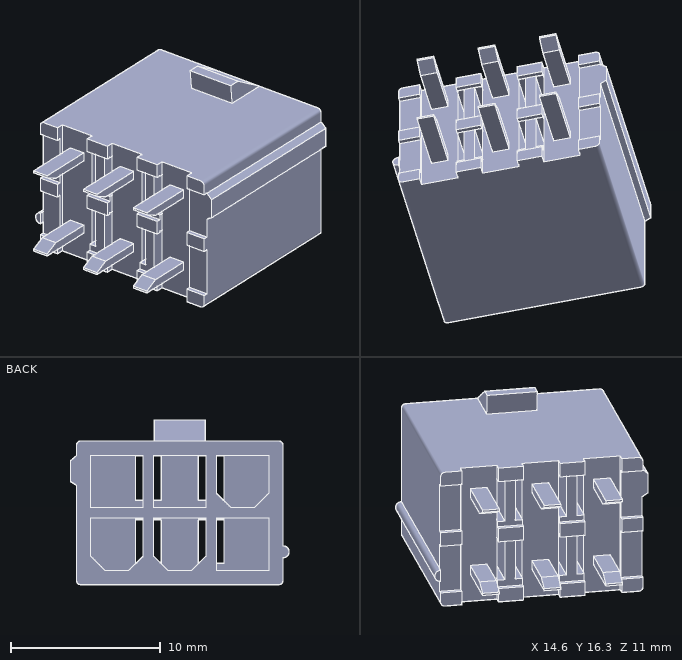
import cadquery as cq

columns = 3
pitch = 4.2

partition = 0.72
body_width = 13.8
body_height = 9.6
body_depth = 12.8
corner_radius = 0.3

cavity_side = pitch - partition
cavity_chamfer = 0.95
floor_thickness = 3.2
polarised = [(0, 1), (1, 0), (2, 0)]

channel_width = 2.5
channel_depth = 0.52
land_depth = 0.3
standoff_height = 0.97

window_bottom = 1.25
window_top = 1.7

pin_width = 1.14
pin_thickness = 0.61
pin_length = 3.5
pin_row_pitch = 5.5
pin_row_offset = 0.22
pin_tip_length = 0.95
pin_tip_thickness = 0.15

latch_width = 3.42
latch_height = 1.4
latch_ramp_length = 2.35
latch_top_length = 3.15
latch_base_length = 3.0

side_projection = 0.4
embed = 0.5
rib_height = 2.2
key_top = 8.62
key_height = 1.98
key_upper_bevel = 0.35
key_lower_bevel = 0.25

half_width = body_width / 2
mid_height = body_height / 2
column_x = [(i - (columns - 1) / 2) * pitch for i in range(columns)]
cavity_z = [mid_height - pitch / 2, mid_height + pitch / 2]


def box(x0, x1, y0, y1, z0, z1):
    """Block between two opposite corners."""
    return cq.Workplane("XY").box(x1 - x0, y1 - y0, z1 - z0, centered=False).translate((x0, y0, z0))


def along_y(start):
    """Sketch plane with X right and Z up; negative extrusions run toward +Y."""
    return cq.Workplane("XZ", origin=(0, start, 0))


def make_body():
    body = box(-half_width, half_width, 0, body_depth, 0, body_height)
    return body.edges("|Y").fillet(corner_radius)


def make_rib():
    """Round rib along the -X wall."""
    return along_y(0).center(-half_width, rib_height).circle(side_projection).extrude(-body_depth)


def make_key():
    """Bevelled polarising key along the +X wall."""
    outer_x = half_width + side_projection
    low = key_top - key_height
    profile = [
        (half_width - embed, low),
        (half_width, low),
        (outer_x, low + key_lower_bevel),
        (outer_x, key_top - key_upper_bevel),
        (half_width, key_top),
        (half_width - embed, key_top),
    ]
    return along_y(land_depth).polyline(profile).close().extrude(land_depth - body_depth)


def make_latch():
    """Ramped latch on the top, rising from the mating end."""
    top = body_height + latch_height
    profile = [
        (body_depth, body_height - embed),
        (body_depth, body_height),
        (body_depth - latch_ramp_length, top),
        (body_depth - latch_top_length, top),
        (body_depth - latch_base_length, body_height),
        (body_depth - latch_base_length, body_height - embed),
    ]
    return cq.Workplane("YZ").polyline(profile).close().extrude(latch_width / 2, both=True)


def make_land_recesses():
    """Two recesses across the board side that leave three rows of standoffs."""
    low = standoff_height
    mid_low = mid_height - standoff_height / 2
    mid_high = mid_height + standoff_height / 2
    lower = box(-half_width, half_width, 0, land_depth, low, mid_low)
    upper = box(-half_width, half_width, 0, land_depth, mid_high, body_height - standoff_height)
    return lower.union(upper)


def make_channel(x):
    half = channel_width / 2
    return box(x - half, x + half, 0, channel_depth, 0, body_height)


def make_cavity(x, z, chamfered):
    """Mating cavity, open at the +Y end."""
    half = cavity_side / 2
    cavity = box(x - half, x + half, floor_thickness, body_depth, z - half, z + half)
    if chamfered:
        cavity = cavity.faces("<Z").edges("|Y").chamfer(cavity_chamfer)
    return cavity


def make_window(x, z, side):
    """Slot through the floor between a channel and the partition on the given side."""
    x_range = sorted([x + side * channel_width / 2, x + side * cavity_side / 2])
    return box(*x_range, land_depth, floor_thickness, z - window_bottom, z + window_top)


def make_pin(x, z, outward):
    """Solder pin; its tip is bevelled on the inward face and keeps the outward (+1 up, -1 down) one."""
    outer_z = z + outward * pin_thickness / 2
    inner_z = z - outward * pin_thickness / 2
    profile = [
        (floor_thickness / 2, outer_z),
        (-pin_length, outer_z),
        (-pin_length, outer_z - outward * pin_tip_thickness),
        (-pin_length + pin_tip_length, inner_z),
        (floor_thickness / 2, inner_z),
    ]
    pin = cq.Workplane("YZ").polyline(profile).close().extrude(pin_width / 2, both=True)
    return pin.translate((x, 0, 0))


result = make_body().union(make_rib()).cut(make_land_recesses())
result = result.union(make_key()).union(make_latch())

for column, x in enumerate(column_x):
    result = result.cut(make_channel(x))
    for row, z in enumerate(cavity_z):
        result = result.cut(make_cavity(x, z, (column, row) in polarised))
        if column > 0:
            result = result.cut(make_window(x, z, -1))
        if column < columns - 1:
            result = result.cut(make_window(x, z, 1))

for x in column_x:
    for outward in (-1, 1):
        pin_z = mid_height + pin_row_offset + outward * pin_row_pitch / 2
        result = result.union(make_pin(x, pin_z, outward))